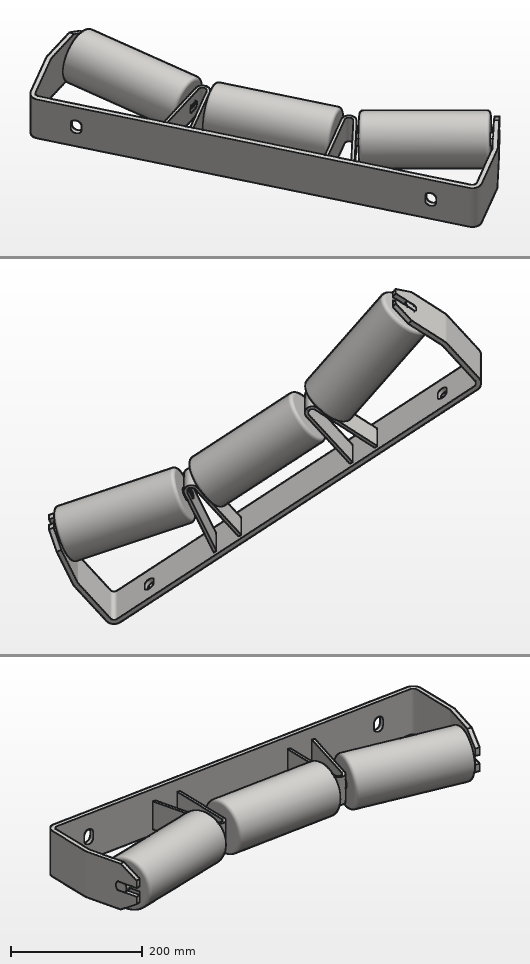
import cadquery as cq
import math


frame_length = 720.0
strip_width = 80.0
strip_thickness = 8.0
bend_radius = 15.0
arm_bend_y = 97.0
arm_length = 96.5
tip_chamfer_along = 30.0
tip_chamfer_across = 19.5

mount_slot_spacing = 566.0
mount_slot_height = 26.0
mount_slot_width = 17.0

roller_diameter = 89.0
roller_length = 200.0
roller_end_fillet = 6.0
axle_diameter = 20.0
axle_flat_width = 15.0
end_gap = 5.0
side_lean = 15.0
side_tilt = 1.9
side_axis_along_arm = 67.0
middle_axis_y = 103.0
middle_axis_z = 34.0

bracket_thickness = 5.0
bracket_reach = 128.0
bracket_width = 49.0

lean = math.radians(side_lean)
along_arm = cq.Vector(math.sin(lean), math.cos(lean), 0)
into_frame = cq.Vector(math.cos(lean), -math.sin(lean), 0)

outer_x = frame_length / 2
arm_bend = cq.Vector(-outer_x, arm_bend_y, 0)
arm_tip = arm_bend + along_arm * arm_length

face_distance = roller_length / 2 + end_gap
arm_axle_end = face_distance + strip_thickness
bracket_axle_end = face_distance + bracket_thickness

left_centre = (
    arm_bend
    + along_arm * side_axis_along_arm
    + into_frame * arm_axle_end
    + cq.Vector(0, 0, strip_width / 2 - arm_axle_end * math.tan(math.radians(side_tilt)))
)


def mirrored(shape):
    """Copy of a shape on the other side of the frame."""
    return shape.mirror("YZ")


def on_left_axis(shape):
    """Move a shape built around the X axis onto the left roller axis."""
    return (
        shape.rotate((0, 0, 0), (0, 1, 0), side_tilt)
        .rotate((0, 0, 0), (0, 0, 1), -side_lean)
        .translate(left_centre)
    )


def x_cylinder(diameter, start, end):
    """Cylinder on the X axis between two X positions."""
    return cq.Workplane("YZ").workplane(offset=start).circle(diameter / 2).extrude(end - start)


def axle(start, end):
    """Axle on the X axis with a flat above and below."""
    flats = cq.Workplane("XY").box(2 * frame_length, axle_diameter, axle_flat_width)
    return x_cylinder(axle_diameter, start, end).intersect(flats)


def roller(left_end, right_end):
    """Roller centred on the origin; its axle ends at the given distances from the centre."""
    half_drum = roller_length / 2
    drum = x_cylinder(roller_diameter, -half_drum, half_drum).edges().fillet(roller_end_fillet)
    return drum.union(axle(-left_end, right_end))


def bent_strip():
    """Base and both arms, bent from one strip of constant thickness."""
    inner_x = outer_x - strip_thickness
    inner_bend_y = arm_bend_y - strip_thickness * math.tan(lean / 2)
    inner_tip = arm_tip + into_frame * strip_thickness
    left_outer = [(arm_tip.x, arm_tip.y), (-outer_x, arm_bend_y), (-outer_x, 0)]
    left_inner = [(-inner_x, strip_thickness), (-inner_x, inner_bend_y), (inner_tip.x, inner_tip.y)]
    right_outer = [(-x, y) for x, y in reversed(left_outer)]
    right_inner = [(-x, y) for x, y in reversed(left_inner)]
    outline = left_outer + right_outer + right_inner + left_inner
    strip = cq.Workplane("XY").polyline(outline).close().extrude(strip_width)

    inner_radius = bend_radius - strip_thickness
    bends = [
        (outer_x, 0, bend_radius),
        (outer_x, arm_bend_y, bend_radius),
        (inner_x, strip_thickness, inner_radius),
        (inner_x, inner_bend_y, inner_radius),
    ]
    for x, y, radius in bends:
        for side in (-1, 1):
            bend_edge = cq.selectors.NearestToPointSelector((side * x, y, strip_width / 2))
            strip = strip.edges("|Z").edges(bend_edge).fillet(radius)
    return strip


def left_tip_wedges():
    """Wedges that take the two corners off the left arm tip."""
    tip_middle = arm_tip + cq.Vector(0, 0, strip_width / 2)
    arm_plane = cq.Plane(tip_middle.toTuple(), along_arm.toTuple(), into_frame.toTuple())
    wedges = cq.Workplane(arm_plane)
    for side in (-1, 1):
        edge_y = side * strip_width / 2
        corner = [(0, edge_y), (-tip_chamfer_along, edge_y), (0, edge_y - side * tip_chamfer_across)]
        wedges = wedges.polyline(corner).close()
    return wedges.extrude(strip_thickness)


def left_axle_openings():
    """Hole in the slanted bracket leg and open slot in the arm, both fitting the left axle."""
    slot_height = arm_length - side_axis_along_arm + axle_diameter
    slot = (
        cq.Workplane("XY")
        .box(2 * strip_thickness, slot_height, axle_flat_width, centered=(True, False, True))
        .translate((-arm_axle_end, 0, 0))
    )
    axle_path = axle(-arm_axle_end - strip_thickness, bracket_axle_end)
    return on_left_axis(axle_path.union(slot))


def left_bracket():
    """Slanted leg and upright leg joined by a round bend, standing on the base."""
    upright_x = -face_distance
    slant_face = left_centre + into_frame * face_distance

    to_corner = cq.Vector(upright_x - slant_face.x, bracket_reach - slant_face.y, 0)
    outer_radius = to_corner.dot(into_frame) / (1 + into_frame.x + into_frame.y)
    inner_radius = outer_radius - bracket_thickness
    bend = cq.Vector(upright_x - outer_radius, bracket_reach - outer_radius, 0)

    foot_y = strip_thickness / 2

    def slanted_line(radius):
        tangent = bend - into_frame * radius
        foot = tangent - along_arm * ((tangent.y - foot_y) / along_arm.y)
        return (foot.x, foot.y), (tangent.x, tangent.y)

    outer_foot, outer_tangent = slanted_line(outer_radius)
    inner_foot, inner_tangent = slanted_line(inner_radius)
    return (
        cq.Workplane("XY")
        .workplane(offset=middle_axis_z - bracket_width / 2)
        .moveTo(*outer_foot)
        .lineTo(*outer_tangent)
        .threePointArc((bend.x, bend.y + outer_radius), (upright_x, bend.y))
        .lineTo(upright_x, foot_y)
        .lineTo(upright_x - bracket_thickness, foot_y)
        .lineTo(upright_x - bracket_thickness, bend.y)
        .threePointArc((bend.x, bend.y + inner_radius), inner_tangent)
        .lineTo(*inner_foot)
        .close()
        .extrude(bracket_width)
    )


def mount_slots():
    """Cutters for the two upright slots through the base."""
    half_spacing = mount_slot_spacing / 2
    return (
        cq.Workplane("XZ")
        .pushPoints([(-half_spacing, strip_width / 2), (half_spacing, strip_width / 2)])
        .slot2D(mount_slot_height, mount_slot_width, 90)
        .extrude(-strip_thickness)
    )


def frame_with_middle_roller():
    """Strip, brackets and middle roller as one solid."""
    frame = bent_strip().cut(mount_slots())
    for part in (left_bracket(), mirrored(left_bracket())):
        frame = frame.union(part)
    for cutter in (left_tip_wedges(), left_axle_openings()):
        frame = frame.cut(cutter).cut(mirrored(cutter))
    middle_roller = roller(bracket_axle_end, bracket_axle_end).rotate((0, 0, 0), (1, 0, 0), 90)
    return frame.union(middle_roller.translate((0, middle_axis_y, middle_axis_z)))


frame = frame_with_middle_roller()
left_roller = on_left_axis(roller(arm_axle_end, bracket_axle_end))
side_rollers = [left_roller, mirrored(left_roller)]

result = cq.Compound.makeCompound([frame.val(), *[side.val() for side in side_rollers]])